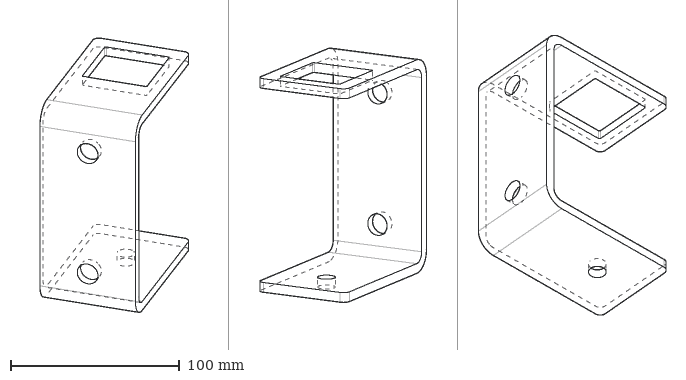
import cadquery as cq

width = 60.0
depth = 98.0
height = 130.0
thickness = 6.0
inner_bend_radius = 6.0
outer_bend_radius = inner_bend_radius + thickness
flange_corner_radius = 4.0

back_hole_diameter = 13.0
back_hole_spacing = 80.0

window_size = 40.5
window_corner_radius = 1.0
bottom_hole_diameter = 10.5
flange_feature_y = 68.0


def bent_strip():
    """C-shaped strip: back plate at y = 0 and two flanges towards +Y, centred on x = 0."""
    outer = (
        cq.Workplane("XY")
        .box(width, depth, height, centered=(True, False, False))
        .edges("|X and <Y")
        .fillet(outer_bend_radius)
    )
    inner = (
        cq.Workplane("XY")
        .box(width, depth, height - 2 * thickness, centered=(True, False, False))
        .translate((0, thickness, thickness))
        .edges("|X and <Y")
        .fillet(inner_bend_radius)
    )
    return outer.cut(inner).edges("|Z and >Y").fillet(flange_corner_radius)


def back_holes():
    """Two cylinders along Y through the back plate."""
    lower_z = (height - back_hole_spacing) / 2
    upper_z = lower_z + back_hole_spacing
    return (
        cq.Workplane("XZ")
        .pushPoints([(0, lower_z), (0, upper_z)])
        .circle(back_hole_diameter / 2)
        .extrude(-thickness)
    )


def top_window():
    """Square prism with rounded corners through the top flange."""
    return (
        cq.Workplane("XY", origin=(0, flange_feature_y, height - thickness))
        .rect(window_size, window_size)
        .extrude(thickness)
        .edges("|Z")
        .fillet(window_corner_radius)
    )


def bottom_hole():
    """Cylinder through the bottom flange."""
    return (
        cq.Workplane("XY", origin=(0, flange_feature_y, 0))
        .circle(bottom_hole_diameter / 2)
        .extrude(thickness)
    )


result = bent_strip().cut(back_holes()).cut(top_window()).cut(bottom_hole())